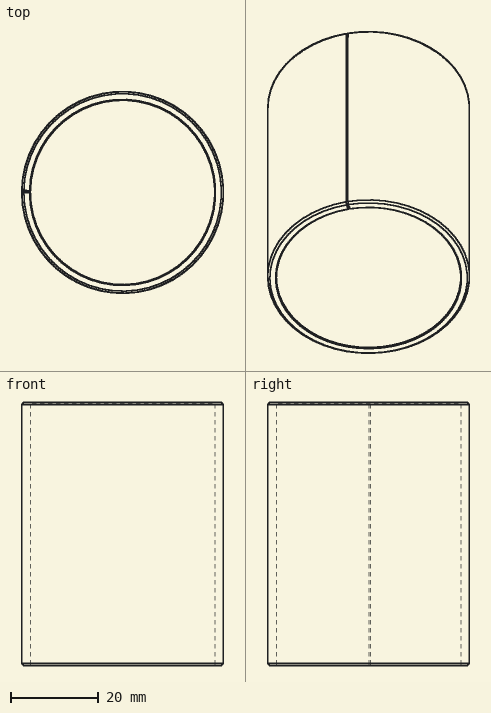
import cadquery as cq

outer_diameter = 46.0
wall_thickness = 2.0
length = 60.0
outer_chamfer = 0.5
inner_chamfer = 0.2
slit_angle = 1.0

outer_radius = outer_diameter / 2
inner_radius = outer_radius - wall_thickness
half_length = length / 2
full_turn = 360.0
half_turn = 180.0


def make_wall_section():
    """Lengthwise section of the wall on the +X side, chamfered at all four corners."""
    return (
        cq.Workplane("XZ")
        .moveTo(inner_radius, -half_length + inner_chamfer)
        .lineTo(inner_radius + inner_chamfer, -half_length)
        .lineTo(outer_radius - outer_chamfer, -half_length)
        .lineTo(outer_radius, -half_length + outer_chamfer)
        .lineTo(outer_radius, half_length - outer_chamfer)
        .lineTo(outer_radius - outer_chamfer, half_length)
        .lineTo(inner_radius + inner_chamfer, half_length)
        .lineTo(inner_radius, half_length - inner_chamfer)
        .close()
    )


def make_split_sleeve():
    """Sleeve along Z, swept just short of a full turn so a narrow slit stays open on the -X side."""
    axis_start = (0, 0, 0)
    axis_end = (0, 1, 0)
    sleeve = make_wall_section().revolve(full_turn - slit_angle, axis_start, axis_end)
    return sleeve.rotate((0, 0, 0), (0, 0, 1), half_turn)


result = make_split_sleeve()